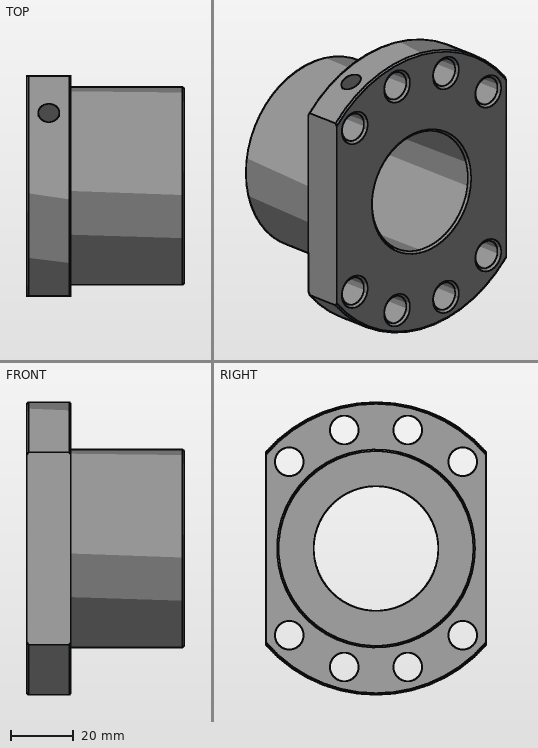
import cadquery as cq
import math

total_length = 50.0
flange_diameter = 93.0
flange_thickness = 14.0
flange_width = 70.0
flange_chamfer = 0.6

body_diameter = 63.0
body_chamfer = 0.6

bore_diameter = 39.5
bore_chamfer = 0.7

pitch_radius = 39.0
mount_hole_diameter = 9.0
mount_hole_chamfer = 0.8
mount_hole_angles = [
    side + offset for side in (90, 270) for offset in (-45, -15, 15, 45)
]

oil_hole_diameter = 6.7
oil_hole_tilt = 30.0


def cylinder(diameter, start, length):
    """Solid cylinder on the X axis."""
    return cq.Workplane("YZ", origin=(start, 0, 0)).circle(diameter / 2).extrude(length)


def chamfered_hole(diameter, chamfer, depth, y, z):
    """Cutter along X with a countersink at the flange front face."""
    radius = diameter / 2
    drill = cq.Solid.makeCylinder(radius, depth, cq.Vector(0, y, z), cq.Vector(1, 0, 0))
    countersink = cq.Solid.makeCone(
        radius + chamfer, radius, chamfer, cq.Vector(0, y, z), cq.Vector(1, 0, 0)
    )
    return cq.Workplane(obj=drill).union(cq.Workplane(obj=countersink))


def make_flange():
    """Round chamfered disc with two parallel side flats."""
    disc = cylinder(flange_diameter, 0, flange_thickness).edges().chamfer(flange_chamfer)
    flats = cq.Workplane("XY").box(2 * flange_thickness, flange_width, flange_diameter)
    return disc.intersect(flats)


def make_oil_hole():
    """Radial drilling from the rim into the bore."""
    tilt = math.radians(oil_hole_tilt)
    outward = cq.Vector(0, math.sin(tilt), math.cos(tilt))
    start = cq.Vector(flange_thickness / 2, 0, 0)
    drill = cq.Solid.makeCylinder(oil_hole_diameter / 2, flange_diameter / 2, start, outward)
    return cq.Workplane(obj=drill)


body = cylinder(body_diameter, 0, total_length).faces(">X").edges().chamfer(body_chamfer)
result = make_flange().union(body)
result = result.cut(chamfered_hole(bore_diameter, bore_chamfer, total_length, 0, 0))

for angle in mount_hole_angles:
    hole_y = pitch_radius * math.cos(math.radians(angle))
    hole_z = pitch_radius * math.sin(math.radians(angle))
    result = result.cut(
        chamfered_hole(mount_hole_diameter, mount_hole_chamfer, flange_thickness, hole_y, hole_z)
    )

result = result.cut(make_oil_hole())